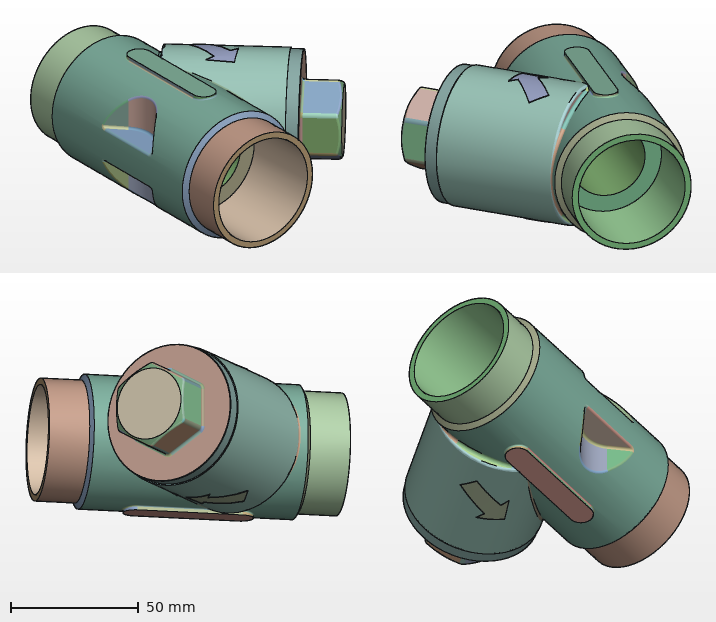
import cadquery as cq
import math

pipe_length = 120.0
pipe_dia = 48.3
pipe_bore_dia = 43.3
pipe_bore_depth = 35.0
seat_bore_dia = 30.0
body_dia = 53.0
body_length = 88.0
body_bevel_angle = 30.0

branch_angle = 50.0
branch_origin_x = -25.0
branch_dia = 56.0
branch_start = 11.0
branch_end = 61.1
branch_fillet = 1.0

cap_dia = 55.0
cap_height = 5.2
cap_chamfer = 0.2
head_height = 16.15
head_across_flats = 30.0
head_side_fillet = 2.0
head_top_fillet = 1.0
head_base_fillet = 1.0
head_bevel_dia = 28.5
head_bevel_angle = 30.0

pad_length = 51.8
pad_width = 9.8
pad_level = 27.7
pad_base_fillet = 0.5

arrow_tail_x = -17.9
arrow_center_y = 26.1
arrow_length = 24.0
arrow_head_length = 8.0
arrow_shaft_width = 8.0
arrow_head_width = 16.0
arrow_height = 0.2

pocket_center_x = 5.1
pocket_tip_y = -14.3
pocket_tip_radius = 12.5
pocket_side_angle = 45.0
pocket_floor_z = 7.0
pocket_floor_fillet = 1.0
pocket_rim_fillet = 1.0

body_radius = body_dia / 2
body_bevel_run = (body_dia - pipe_dia) / 2
body_bevel_length = body_bevel_run * math.tan(math.radians(body_bevel_angle))
cap_end = branch_end + cap_height
tolerance = 0.001


def cylinder_x(diameter, start_x, end_x):
    return cq.Workplane("YZ").workplane(offset=start_x).circle(diameter / 2).extrude(end_x - start_x)


def branch_plane(distance):
    """Plane square to the branch axis, at a distance along it from the pipe axis."""
    angle = math.radians(branch_angle)
    along_x, along_y = math.cos(angle), math.sin(angle)
    return cq.Plane(
        origin=(branch_origin_x + distance * along_x, distance * along_y, 0),
        xDir=(along_y, -along_x, 0),
        normal=(along_x, along_y, 0),
    )


def branch_cylinder(diameter, start, end):
    return cq.Workplane(branch_plane(start)).circle(diameter / 2).extrude(end - start)


branch_axis = branch_plane(0).zDir
lowest_on_branch = cq.selectors.DirectionMinMaxSelector(branch_axis, directionMax=False)
highest_on_branch = cq.selectors.DirectionMinMaxSelector(branch_axis)


def on_both_sides(feature):
    return feature.union(feature.mirror("XY"))


def on_body_surface(edge):
    """True where the whole edge lies on the outside cylinder of the body."""
    points = edge.positions([0, 0.3, 0.7, 1])
    return all(abs(math.hypot(point.y, point.z) - body_radius) < tolerance for point in points)


def make_pocket():
    """Pocket on the +Z half, open toward -Y and +Z."""
    angle = math.radians(pocket_side_angle)
    tangent_x = pocket_tip_radius * math.sin(angle)
    tangent_y = pocket_tip_y - pocket_tip_radius * (1 - math.cos(angle))
    open_y = -body_radius - pocket_tip_radius
    open_half_width = tangent_x + (tangent_y - open_y) / math.tan(angle)
    return (
        cq.Workplane("XY", origin=(pocket_center_x, 0, pocket_floor_z))
        .moveTo(-open_half_width, open_y)
        .lineTo(-tangent_x, tangent_y)
        .threePointArc((0, pocket_tip_y), (tangent_x, tangent_y))
        .lineTo(open_half_width, open_y)
        .close()
        .extrude(body_radius)
        .faces("<Z").edges("not(<Y)").fillet(pocket_floor_fillet)
    )


def make_body():
    """Bevelled body on the pipe, with the two pockets and their rounded rims."""
    body = (
        cylinder_x(body_dia, -body_length / 2, body_length / 2)
        .faces("<X or >X").edges().chamfer(body_bevel_length, body_bevel_run)
        .rotate((0, 0, 0), (1, 0, 0), 180)
    )
    body = body.union(cylinder_x(pipe_dia, -pipe_length / 2, pipe_length / 2))
    body = body.cut(on_both_sides(make_pocket()))
    pocket_edges = body.edges("not %CIRCLE").vals()
    rims = [edge for edge in pocket_edges if on_body_surface(edge) and edge.Length() < body_dia]
    return body.newObject(rims).fillet(pocket_rim_fillet)


def add_branch(body):
    """Join the branch to the body, rounding its lower end and the corner between them."""
    branch = branch_cylinder(branch_dia, branch_start, branch_end)
    branch = branch.faces(lowest_on_branch).edges().fillet(branch_fillet)
    joined = body.union(branch)
    curves = joined.edges("%BSPLINE or %ELLIPSE").vals()
    corner = [edge for edge in curves if on_body_surface(edge) and edge.Center().y > 0]
    return joined.newObject(corner).fillet(branch_fillet)


def make_head():
    """Hexagon head with a shallow cone turned on its end."""
    across_corners = head_across_flats / math.cos(math.radians(30))
    hexagon = (
        cq.Workplane(branch_plane(cap_end))
        .transformed(rotate=(0, 0, 90)).polygon(6, across_corners).extrude(head_height)
        .edges(cq.selectors.ParallelDirSelector(branch_axis)).fillet(head_side_fillet)
    )
    base_center = branch_plane(cap_end).origin
    base_radius = head_bevel_dia / 2 + head_height / math.tan(math.radians(head_bevel_angle))
    cone = cq.Solid.makeCone(base_radius, head_bevel_dia / 2, head_height, base_center, branch_axis)
    cone = cone.rotate(base_center, base_center + branch_axis, 45)
    cone_face = hexagon.intersect(cq.Workplane(obj=cone)).faces("%CONE")
    return cone_face.edges("not %CIRCLE").edges("not %LINE").fillet(head_top_fillet)


def make_cap():
    """Round cap with the head on it, rounded where the head meets the cap."""
    cap = branch_cylinder(cap_dia, branch_end, cap_end)
    cap = cap.faces(highest_on_branch).edges().chamfer(cap_chamfer)
    cap = cap.union(make_head())
    cap_face = cap.faces(cq.selectors.DirectionNthSelector(branch_axis, -2))
    foot = [edge for edge in cap_face.edges().vals() if edge.Length() < head_across_flats]
    return cap.newObject(foot).fillet(head_base_fillet)


def make_pads():
    """Label pads, on the strip of the body that their base fillets run out on."""
    margin = 4 * pad_base_fillet
    pad = cq.Workplane("XY").slot2D(pad_length, pad_width).extrude(pad_level)
    core = cylinder_x(body_dia, -pad_length / 2 - margin, pad_length / 2 + margin)
    padded = core.union(on_both_sides(pad)).edges("%BSPLINE").fillet(pad_base_fillet)
    strip = cq.Workplane("XY").box(pad_length + margin, pad_width + margin, 2 * body_dia)
    return padded.intersect(strip)


def make_arrow():
    """Arrow pointing toward +X, following the curve of the branch."""
    neck_x = arrow_length - arrow_head_length
    outline = [
        (0, -arrow_shaft_width / 2),
        (neck_x, -arrow_shaft_width / 2),
        (neck_x, -arrow_head_width / 2),
        (arrow_length, 0),
        (neck_x, arrow_head_width / 2),
        (neck_x, arrow_shaft_width / 2),
        (0, arrow_shaft_width / 2),
    ]
    prism = (
        cq.Workplane("XY", origin=(arrow_tail_x, arrow_center_y, 0))
        .polyline(outline).close().extrude(branch_dia)
    )
    return prism.intersect(branch_cylinder(branch_dia + 2 * arrow_height, branch_start, branch_end))


def make_bores():
    """Wide bores from both pipe ends, joined by the narrower seat bore."""
    pipe_end = pipe_length / 2
    bores = cylinder_x(seat_bore_dia, -pipe_end, pipe_end)
    bores = bores.union(cylinder_x(pipe_bore_dia, -pipe_end, pipe_bore_depth - pipe_end))
    return bores.union(cylinder_x(pipe_bore_dia, pipe_end - pipe_bore_depth, pipe_end))


result = add_branch(make_body())
result = result.union(make_cap())
result = result.union(make_pads())
result = result.union(on_both_sides(make_arrow()))
result = result.cut(make_bores())